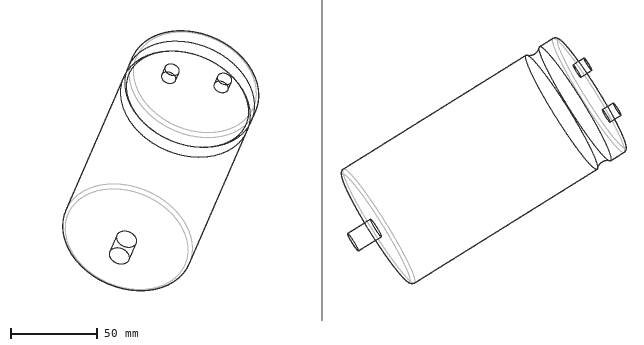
import cadquery as cq

overall_length = 171.6
can_diameter = 78.0
edge_radius = 2.0

stud_diameter = 12.0
stud_length = 15.8

pin_diameter = 8.5
pin_length = 7.5
pin_spacing = 31.5

groove_width = 9.3
groove_depth = 2.0
groove_from_terminal_end = 16.0

can_radius = can_diameter / 2
stud_tip_y = -overall_length / 2
can_start_y = stud_tip_y + stud_length
can_end_y = overall_length / 2 - pin_length
groove_center_y = can_end_y - groove_from_terminal_end


def cylinder_along_y(diameter, start_y, end_y, center_x=0.0):
    """Solid cylinder parallel to Y between two Y positions."""
    start = cq.Vector(center_x, start_y, 0)
    along_y = cq.Vector(0, 1, 0)
    return cq.Workplane(cq.Solid.makeCylinder(diameter / 2, end_y - start_y, start, along_y))


def make_can():
    """Cylinder with both end rims rounded."""
    can = cylinder_along_y(can_diameter, can_start_y, can_end_y)
    return can.faces("<Y or >Y").edges().fillet(edge_radius)


def make_groove():
    """Ring with a circular-arc section that cuts the groove."""
    half_width = groove_width / 2
    arc_radius = (half_width**2 + groove_depth**2) / (2 * groove_depth)
    arc_center_x = can_radius - groove_depth + arc_radius
    section = cq.Workplane("XY").center(arc_center_x, groove_center_y).circle(arc_radius)
    axis_start = (-arc_center_x, 0)
    axis_end = (-arc_center_x, 1)
    return section.revolve(360, axis_start, axis_end)


stud = cylinder_along_y(stud_diameter, stud_tip_y, can_start_y)

result = make_can().cut(make_groove()).union(stud)
for side in (-1, 1):
    pin = cylinder_along_y(pin_diameter, can_end_y, overall_length / 2, side * pin_spacing / 2)
    result = result.union(pin)